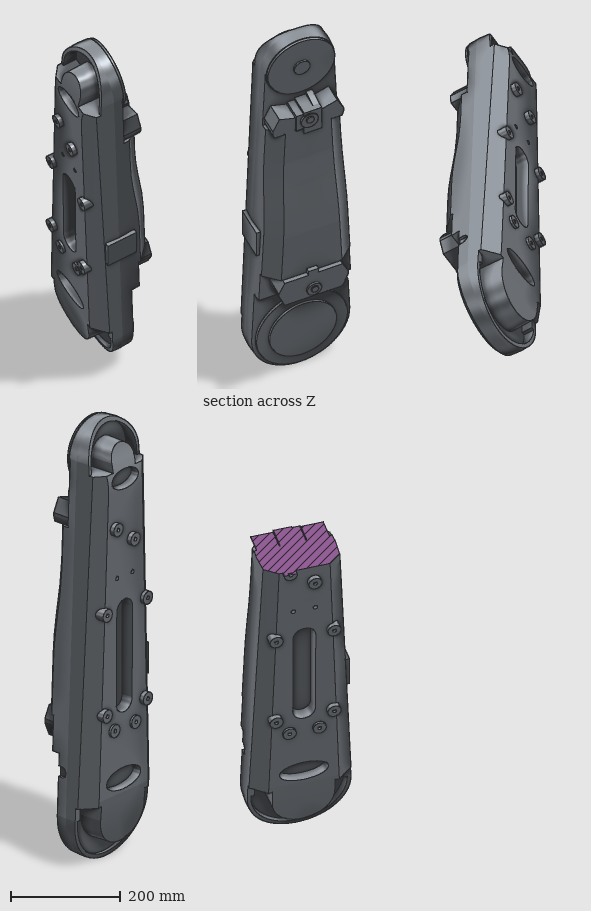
import cadquery as cq
import math

LOWER_R = 100.0
UPPER_R = 70.0
UPPER_Z = 700.0
DRAFT = math.tan(math.radians(4.0))
TILT = math.asin((LOWER_R - UPPER_R) / UPPER_Z)

SHELL_BOTTOM_Z = 29.0
SHELL_TOP_Z = 682.0
SHELL_LOW = {"shoulder": 26.0, "crest": 51.0, "crest_half": 67.0}
SHELL_HIGH = {"shoulder": 37.0, "crest": 55.5, "crest_half": 45.0}
SHELL_DEPTH = 57.0
CREST_LOW_Z = 40.0
CREST_HIGH_Z = 645.0
CREST_ARC_LOW = (-48.0, 0.0)
CREST_ARC_HIGH = (-51.5, 690.0)

LIP = 8.5
LIP_DEPTH_LOW = 21.0
LIP_DEPTH_HIGH = 28.0
LIP_AXIS_DEPTH = 27.0
LIP_ARC_LOW = (-13.5, -60.0)
LIP_ARC_HIGH = (-20.5, UPPER_Z + 36.0)
LIP_TIP_DEPTH = 6.0
FLOOR_DEPTH = 0.5
LOWER_BOSS_R = 61.0
UPPER_BOSS_R = 32.0
LOWER_BOSS_TIP_DEPTH = 40.5
UPPER_BOSS_TIP_DEPTH = 39.0
BOSS_TAPER = 2.0
BOSS_OVERLAP = 10.0
LIP_BLOCK_HALF = 85.0
LIP_BLOCK_BOTTOM_Z = 2.0
LIP_BLOCK_SETBACK = 1.0

SLOT_R = 22.0
SLOT_BOTTOM_Z = 199.0
SLOT_TOP_Z = 424.0
SLOT_FLOOR = 30.0
POCKET_TAPER = 6.0
LOWER_OVAL = {"z": 68.0, "half_x": 47.0, "half_z": 22.0, "floor": 34.0}
UPPER_OVAL = {"z": 663.0, "half_x": 36.0, "half_z": 19.5, "floor": 39.0}
PIN_HOLE_X = 21.0
PIN_HOLE_Z = 471.0
PIN_HOLE_R = 4.0
PIN_HOLE_FLOOR = 45.0

SCREW_R = 12.5
SCREW_SOCKET_R = 3.5
SCREW_SOCKET_DEPTH = 5.0
SCREW_ROOT = 38.0
EDGE_SCREW_X = 55.0
EDGE_SCREW_FACE = 61.5
SCREWS = [
    (-28.5, 572.0, 64.0),
    (18.0, 539.0, 64.0),
    (-28.5, 171.0, 56.5),
    (28.5, 171.0, 56.5),
] + [(side * EDGE_SCREW_X, z, EDGE_SCREW_FACE) for z in (210.0, 410.0) for side in (-1, 1)]

LOWER_BACK = 23.0
UPPER_BACK = 18.0
UPPER_CAP_BACK = 21.0
LEDGE_BOTTOM_Z = 125.0
BULGE_TOP_Z = 568.0
LEDGE_BACK = 40.0
BULGE_CREST_LOW = 70.5
BULGE_CREST_HIGH = 56.0
BULGE_RISE_START_Z = 489.0
BULGE_RISE_END_Z = 302.0
BULGE_BEVEL = 26.0
BULGE_TRIM = 1.0

DISCS = [
    (0.0, 91.0, 28.5),
    (0.0, 67.0, 33.5),
    (UPPER_Z, 68.5, UPPER_CAP_BACK),
    (UPPER_Z, 67.0, 26.0),
    (UPPER_Z, 16.0, 29.5),
]

CLAMP_CORNER_X = 58.0
UPPER_CLAMP = {
    "levels": (568.0, 579.0, 586.0, 613.0),
    "bottom_x": 68.0,
    "side_x": 71.0,
    "inner_x": 26.0,
    "inner_top": 603.0,
    "back": 56.0,
}
LOWER_CLAMP = {
    "levels": (135.0, 162.0, 170.0, 194.0),
    "bottom_x": CLAMP_CORNER_X,
    "side_x": 69.5,
    "inner_x": 0.0,
    "inner_top": 194.0,
    "back": 79.0,
}

POST_X = (-25.0, 10.5)
POST_BACK = 60.5
POST_Z = (558.0, 613.0)
STEP_RIGHT_X = 25.0
STEP_BACK = 58.0
STEP_Z = (568.0, 608.0)
FOOT_RIGHT_X = -12.0
FOOT_BACK = 50.0
FOOT_ROOT_BACK = 22.0
FOOT_TOP_Z = 620.0

TAB_HALF = 10.0
TAB_TOP_Z = 204.0
TAB_FRONT = 67.0
HUBS = [
    (156.0, 14.5, 83.0),
    (158.5, 7.0, 86.0),
    (591.0, 17.0, 63.0),
    (595.5, 7.5, 66.0),
]

PLATE_X = 93.5
PLATE_ROOT_X = 50.0
PLATE_Y = (-28.0, 33.0)
PLATE_Z = (239.0, 300.0)
NOTCH_Z = 90.5
NOTCH_R = 10.5
NOTCH_TIP_Y = 4.0
NOTCH_DEPTH = 5.0

REACH = 400.0


def half_width(z, y=0.0):
    """Half width of the straight flank at height z and distance |y| from the parting plane."""
    return LOWER_R / math.cos(TILT) - z * math.tan(TILT) - abs(y) * DRAFT / math.cos(TILT)


def box(x, y, z):
    """Box from (low, high) pairs."""
    size = [pair[1] - pair[0] for pair in (x, y, z)]
    return cq.Workplane("XY").box(*size, centered=False).translate((x[0], y[0], z[0]))


def rod(x, z, radius, y_start, y_end):
    """Cylinder along Y."""
    return cq.Workplane("XZ", origin=(x, y_start, z)).circle(radius).extrude(y_start - y_end)


def outline(workplane, inset=0.0):
    """Two end circles joined by their common tangents."""
    low_r = LOWER_R - inset
    high_r = UPPER_R - inset
    c = math.cos(TILT)
    s = math.sin(TILT)
    return (
        workplane.moveTo(low_r * c, low_r * s)
        .lineTo(high_r * c, UPPER_Z + high_r * s)
        .threePointArc((0, UPPER_Z + high_r), (-high_r * c, UPPER_Z + high_r * s))
        .lineTo(-low_r * c, low_r * s)
        .threePointArc((0, -low_r), (low_r * c, low_r * s))
        .close()
    )


def drafted_half(depth):
    """Outline extruded toward -Y, with its flanks leaning inward."""
    return outline(cq.Workplane("XZ")).extrude(depth, taper=math.degrees(math.atan(DRAFT)))


def loft_sections(low_z, low_points, high_z, high_points):
    """Ruled solid between two mirrored XY sections given by their right-hand points."""
    def full(points):
        return points + [(-x, y) for x, y in reversed(points)]

    return (
        cq.Workplane("XY", origin=(0, 0, low_z)).polyline(full(low_points)).close()
        .workplane(offset=high_z - low_z).polyline(full(high_points)).close()
        .loft(ruled=True, combine=True)
    )


def end_rims():
    """Recessed ends: curved lips around a sunken floor."""
    lip_profile = (
        cq.Workplane("YZ", origin=(-REACH, 0, 0))
        .moveTo(0, -LOWER_R)
        .lineTo(-LIP_TIP_DEPTH, -LOWER_R)
        .threePointArc(LIP_ARC_LOW, (-LIP_DEPTH_LOW, LIP_BLOCK_BOTTOM_Z))
        .lineTo(-LIP_DEPTH_LOW, SHELL_BOTTOM_Z)
        .lineTo(-LIP_DEPTH_HIGH, SHELL_TOP_Z)
        .lineTo(-LIP_AXIS_DEPTH, UPPER_Z)
        .threePointArc(LIP_ARC_HIGH, (-LIP_TIP_DEPTH, UPPER_Z + UPPER_R))
        .lineTo(0, UPPER_Z + UPPER_R)
        .close()
        .extrude(2 * REACH)
    )
    rims = drafted_half(LIP_DEPTH_HIGH).intersect(lip_profile)
    recess = outline(cq.Workplane("XZ", origin=(0, -FLOOR_DEPTH, 0)), LIP).extrude(REACH)
    rims = rims.cut(recess)
    for side in (-1, 1):
        inner = side * LIP_BLOCK_HALF
        outer = side * (half_width(SHELL_BOTTOM_Z, LIP_DEPTH_LOW) - LIP_BLOCK_SETBACK)
        rims = rims.union(box(sorted((inner, outer)), (-LIP_DEPTH_LOW, 0),
                              (LIP_BLOCK_BOTTOM_Z, SHELL_BOTTOM_Z)))
    return rims


def bevel_section(z, shoulder, crest, crest_half):
    """Bevel line through the shoulder and crest edges, extended over the full shell depth."""
    flank = half_width(z, shoulder)
    slope = (flank - crest_half) / (crest - shoulder)
    return [
        (flank + slope * shoulder, 0),
        (flank - slope * (SHELL_DEPTH - shoulder), -SHELL_DEPTH),
    ]


def boss(z, radius, root_z):
    """Half-round boss running from its joint axis into the shell end."""
    return (
        cq.Workplane("XZ", origin=(0, 0, z))
        .moveTo(-radius, 0)
        .threePointArc((0, math.copysign(radius, z - root_z)), (radius, 0))
        .lineTo(radius, root_z - z)
        .lineTo(-radius, root_z - z)
        .close()
        .extrude(SHELL_DEPTH, taper=BOSS_TAPER)
    )


def front_shell():
    """Bevelled front cover and its two bosses, trimmed to the crest line."""
    bevels = loft_sections(
        SHELL_BOTTOM_Z, bevel_section(SHELL_BOTTOM_Z, **SHELL_LOW),
        SHELL_TOP_Z, bevel_section(SHELL_TOP_Z, **SHELL_HIGH),
    )
    shell = drafted_half(SHELL_DEPTH).intersect(bevels)
    shell = shell.union(boss(0.0, LOWER_BOSS_R, SHELL_BOTTOM_Z + BOSS_OVERLAP))
    shell = shell.union(boss(UPPER_Z, UPPER_BOSS_R, SHELL_TOP_Z - BOSS_OVERLAP))
    crest = (
        cq.Workplane("YZ", origin=(-REACH, 0, 0))
        .moveTo(0, -LOWER_BOSS_R)
        .lineTo(-LOWER_BOSS_TIP_DEPTH, -LOWER_BOSS_R)
        .threePointArc(CREST_ARC_LOW, (-SHELL_LOW["crest"], CREST_LOW_Z))
        .lineTo(-SHELL_HIGH["crest"], CREST_HIGH_Z)
        .threePointArc(CREST_ARC_HIGH, (-UPPER_BOSS_TIP_DEPTH, UPPER_Z + UPPER_BOSS_R))
        .lineTo(0, UPPER_Z + UPPER_BOSS_R)
        .close()
        .extrude(2 * REACH)
    )
    return shell.intersect(crest)


def bulge():
    """Crowned block with bevelled long edges, rising smoothly between two flat stretches."""
    bottom_z = LOWER_CLAMP["levels"][-1]
    profile = (
        cq.Workplane("YZ", origin=(-REACH, 0, 0))
        .moveTo(0, BULGE_TOP_Z)
        .lineTo(BULGE_CREST_HIGH, BULGE_TOP_Z)
        .lineTo(BULGE_CREST_HIGH, BULGE_RISE_START_Z)
        .spline([(BULGE_CREST_LOW, BULGE_RISE_END_Z)], tangents=[(0, -1), (0, -1)], includeCurrent=True)
        .lineTo(BULGE_CREST_LOW, bottom_z)
        .lineTo(0, bottom_z)
        .close()
        .extrude(2 * REACH)
    )
    block = drafted_half(BULGE_CREST_LOW + BULGE_TRIM).mirror("XZ").intersect(profile)
    long_edges = []
    for edge in block.edges().vals():
        span = edge.BoundingBox()
        if span.zlen > BULGE_TRIM and span.ymin > BULGE_CREST_HIGH - BULGE_TRIM:
            long_edges.append(edge)
    return block.newObject(long_edges).chamfer(BULGE_BEVEL)


def back_body():
    """Flat back, the raised ledge, the bulge and the joint discs."""
    cap_z = UPPER_Z + UPPER_R * math.sin(TILT)
    back = drafted_half(LEDGE_BACK).mirror("XZ")
    back = back.cut(box((-REACH, REACH), (UPPER_BACK, REACH), (BULGE_TOP_Z, cap_z)))
    back = back.cut(box((-REACH, REACH), (UPPER_CAP_BACK, REACH), (cap_z, 2 * REACH)))
    back = back.cut(box((-REACH, REACH), (LOWER_BACK, REACH), (-REACH, LEDGE_BOTTOM_Z)))
    back = back.cut(box((-REACH, REACH), (BULGE_CREST_HIGH - BULGE_BEVEL, REACH),
                        (LOWER_CLAMP["levels"][-1], BULGE_TOP_Z)))
    back = back.union(bulge())
    for z, radius, end in DISCS:
        back = back.union(rod(0, z, radius, 0, end))
    return back


def clamp_pair(levels, bottom_x, side_x, inner_x, inner_top, back):
    """Mirrored pair of clamp blocks with bevelled outer ends."""
    bottom, low, high, top = levels
    block = (
        cq.Workplane("XZ")
        .polyline([(inner_x, bottom), (bottom_x, bottom), (side_x, low),
                   (side_x, high), (CLAMP_CORNER_X, top), (inner_x, inner_top)])
        .close()
        .extrude(-back)
    )
    return block.union(block.mirror("YZ"))


def centre_block():
    """Post, step and sloped foot filling the gap between the upper clamps."""
    post = box(POST_X, (0, POST_BACK), POST_Z)
    step = box((POST_X[1], STEP_RIGHT_X), (0, STEP_BACK), STEP_Z)
    foot = (
        cq.Workplane("YZ", origin=(POST_X[0], 0, 0))
        .polyline([(0, POST_Z[0]), (FOOT_BACK, POST_Z[0]), (FOOT_BACK, POST_Z[1]),
                   (FOOT_ROOT_BACK, FOOT_TOP_Z), (0, FOOT_TOP_Z)])
        .close()
        .extrude(FOOT_RIGHT_X - POST_X[0])
    )
    return post.union(step).union(foot)


def clamps():
    """Upper and lower clamps with their centre block, tab and round hubs."""
    lower_back = LOWER_CLAMP["back"]
    tab = box((-TAB_HALF, TAB_HALF), (TAB_FRONT, lower_back), (LOWER_CLAMP["levels"][0], TAB_TOP_Z))
    group = clamp_pair(**UPPER_CLAMP).union(clamp_pair(**LOWER_CLAMP)).union(centre_block()).union(tab)
    for z, radius, end in HUBS:
        group = group.union(rod(0, z, radius, 0, end))
    return group


def oval_pocket(z, half_x, half_z, floor):
    """Oval cutter that narrows from the crest line to its floor."""
    length = SHELL_DEPTH - floor
    shrink = length * math.tan(math.radians(POCKET_TAPER))
    return (
        cq.Workplane("XZ", origin=(0, -floor, z))
        .ellipse(half_x - shrink, half_z - shrink)
        .extrude(length, taper=-POCKET_TAPER)
    )


def cut_front_pockets(body):
    """Long slot, two ovals and two pin holes in the front."""
    slot_depth = SHELL_DEPTH - SLOT_FLOOR
    shrink = slot_depth * math.tan(math.radians(POCKET_TAPER))
    slot_length = SLOT_TOP_Z - SLOT_BOTTOM_Z - 2 * shrink
    slot_center = (SLOT_TOP_Z + SLOT_BOTTOM_Z) / 2
    slot = (
        cq.Workplane("XZ", origin=(0, -SLOT_FLOOR, slot_center))
        .slot2D(slot_length, 2 * (SLOT_R - shrink), 90)
        .extrude(slot_depth, taper=-POCKET_TAPER)
    )
    body = body.cut(slot)
    for oval in (LOWER_OVAL, UPPER_OVAL):
        body = body.cut(oval_pocket(**oval))
    for side in (-1, 1):
        body = body.cut(rod(side * PIN_HOLE_X, PIN_HOLE_Z, PIN_HOLE_R, -PIN_HOLE_FLOOR, -REACH))
    return body


def add_screws(body):
    """Round screw heads with a socket in each."""
    for x, z, face in SCREWS:
        body = body.union(rod(x, z, SCREW_R, -SCREW_ROOT, -face))
        body = body.cut(rod(x, z, SCREW_SOCKET_R, SCREW_SOCKET_DEPTH - face, -face))
    return body


def side_notch():
    """U-shaped pocket in the left flank, open to the back."""
    floor_x = -half_width(NOTCH_Z, LOWER_BACK) + NOTCH_DEPTH
    tip_center = NOTCH_TIP_Y + NOTCH_R
    return (
        cq.Workplane("YZ", origin=(floor_x, 0, 0))
        .moveTo(LOWER_BACK, NOTCH_Z + NOTCH_R)
        .lineTo(tip_center, NOTCH_Z + NOTCH_R)
        .threePointArc((NOTCH_TIP_Y, NOTCH_Z), (tip_center, NOTCH_Z - NOTCH_R))
        .lineTo(LOWER_BACK, NOTCH_Z - NOTCH_R)
        .close()
        .extrude(-REACH)
    )


body = back_body().union(end_rims()).union(front_shell()).union(clamps())
body = cut_front_pockets(body)
body = add_screws(body)
body = body.union(box((PLATE_ROOT_X, PLATE_X), PLATE_Y, PLATE_Z))
result = body.cut(side_notch())